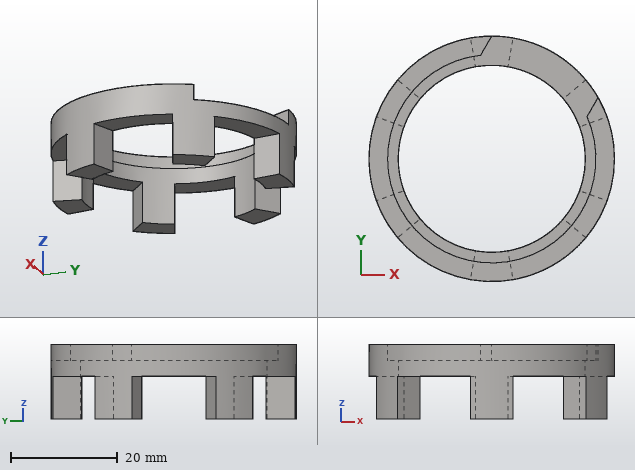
import cadquery as cq
import math

outer_diameter = 46.0
bore_diameter = 35.0
ring_height = 6.0

recess_diameter = 39.0
recess_depth = 3.0

gap_direction = 60.0
gap_span = 60.0
gap_width = outer_diameter * math.sin(math.radians(gap_span / 2))

leg_count = 6
leg_length = 8.0
leg_span = 20.0
first_leg_direction = -90.0
leg_pitch = 360 / leg_count
notch_span = leg_pitch - leg_span

total_height = leg_length + ring_height
notch_reach = outer_diameter


def polar_point(radius, degrees):
    angle = math.radians(degrees)
    return (radius * math.cos(angle), radius * math.sin(angle))


def make_tube():
    """Plain tube over the full height of the ring and its legs."""
    return (
        cq.Workplane("XY")
        .circle(outer_diameter / 2)
        .circle(bore_diameter / 2)
        .extrude(total_height)
    )


def make_notch(direction):
    """Wedge from the centre line outward, centred on the given direction."""
    return (
        cq.Workplane("XY")
        .lineTo(*polar_point(notch_reach, direction - notch_span / 2))
        .lineTo(*polar_point(notch_reach, direction + notch_span / 2))
        .close()
        .extrude(leg_length)
    )


def make_recess():
    """Cutter for the round recess and the gap through the lip."""
    floor = cq.Workplane("XY").workplane(offset=total_height - recess_depth)
    round_recess = floor.circle(recess_diameter / 2).extrude(recess_depth)
    gap = (
        floor.rect(outer_diameter, gap_width, centered=(False, True))
        .extrude(recess_depth)
        .rotate((0, 0, 0), (0, 0, 1), gap_direction)
    )
    return round_recess.union(gap)


body = make_tube()
for index in range(leg_count):
    notch_direction = first_leg_direction + (index + 0.5) * leg_pitch
    body = body.cut(make_notch(notch_direction))

result = body.cut(make_recess())